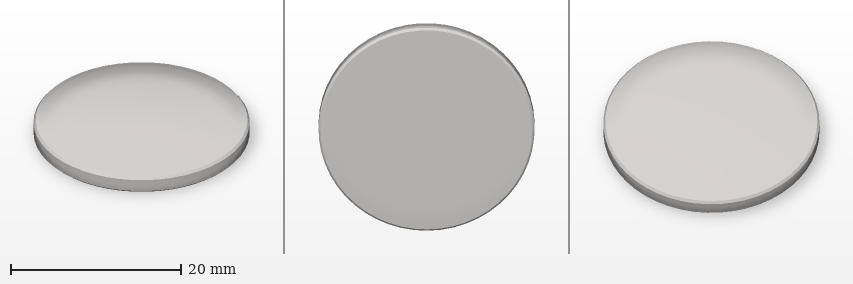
import cadquery as cq

diameter = 25.4
center_thickness = 3.0
dome_height = 0.91
bevel_width = 0.25
lower_bevel_height = 0.25
upper_bevel_height = 0.3

radius = diameter / 2
face_radius = radius - bevel_width
shoulder_z = center_thickness - dome_height

sphere_radius = (face_radius**2 + dome_height**2) / (2 * dome_height)
arc_mid_x = face_radius / 2
arc_drop = sphere_radius - (sphere_radius**2 - arc_mid_x**2) ** 0.5
arc_mid_z = center_thickness - arc_drop

half_section = (
    cq.Workplane("XZ")
    .moveTo(0, 0)
    .lineTo(face_radius, 0)
    .lineTo(radius, lower_bevel_height)
    .lineTo(radius, shoulder_z - upper_bevel_height)
    .lineTo(face_radius, shoulder_z)
    .threePointArc((arc_mid_x, arc_mid_z), (0, center_thickness))
    .close()
)

result = half_section.revolve(360, (0, 0, 0), (0, 1, 0))